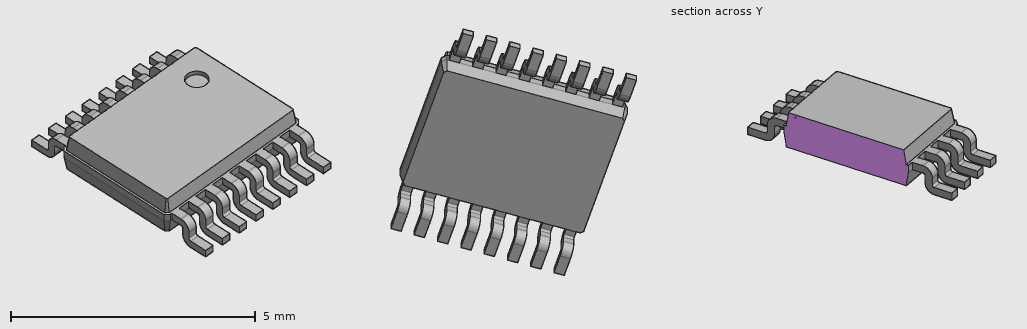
import cadquery as cq
import math

span_x = 4.9
body_length = 4.0
body_width = 3.0

pitch = 0.5
leads_per_side = 8
lead_width = 0.22
lead_thickness = 0.175
bend_inner_radius = 0.05
bend_outer_radius = bend_inner_radius + lead_thickness
foot_to_shank = 0.47
lead_embed = 0.195

standoff = 0.1
half_height = 0.34
band_height = lead_thickness
upper_inset = 0.055
draft_angle = 10.0
corner_chamfer = 0.095

mark_diameter = 0.5
mark_depth = 0.1
mark_edge_distance = 0.815

band_bottom = standoff + half_height
band_top = band_bottom + band_height
body_top = band_top + half_height


def body_block(bottom, height, inset=0.0):
    """Upright block with chamfered corners, drawn in evenly on every side."""
    chamfer = corner_chamfer - (2 - math.sqrt(2)) * inset
    return (
        cq.Workplane("XY")
        .workplane(offset=bottom)
        .rect(body_width - 2 * inset, body_length - 2 * inset)
        .extrude(height)
        .edges("|Z")
        .chamfer(chamfer)
    )


def make_body():
    band = body_block(band_bottom, band_height)
    lower = band.faces("<Z").wires().toPending().workplane().extrude(
        half_height, combine=False, taper=draft_angle
    )
    upper_foot = body_block(band_bottom, band_height, upper_inset)
    upper = upper_foot.faces(">Z").wires().toPending().workplane().extrude(
        half_height, combine=False, taper=draft_angle
    )
    return band.union(lower).union(upper)


def make_left_lead(y_centre):
    """Gull-wing lead on the -X side, bent at constant thickness."""
    tip = -span_x / 2
    shank_outer = tip + foot_to_shank
    shank_inner = shank_outer + lead_thickness
    root = -body_width / 2 + lead_embed
    arc_side = math.sqrt(0.5)

    upper_centre = (shank_outer + bend_outer_radius, band_top - bend_outer_radius)
    lower_centre = (shank_inner - bend_outer_radius, bend_outer_radius)

    def upper_mid(radius):
        return (upper_centre[0] - radius * arc_side, upper_centre[1] + radius * arc_side)

    def lower_mid(radius):
        return (lower_centre[0] + radius * arc_side, lower_centre[1] - radius * arc_side)

    profile = (
        cq.Workplane("XZ", origin=(0, y_centre, 0))
        .moveTo(tip, 0)
        .lineTo(lower_centre[0], 0)
        .threePointArc(lower_mid(bend_outer_radius), (shank_inner, lower_centre[1]))
        .lineTo(shank_inner, upper_centre[1])
        .threePointArc(upper_mid(bend_inner_radius), (upper_centre[0], band_bottom))
        .lineTo(root, band_bottom)
        .lineTo(root, band_top)
        .lineTo(upper_centre[0], band_top)
        .threePointArc(upper_mid(bend_outer_radius), (shank_outer, upper_centre[1]))
        .lineTo(shank_outer, lower_centre[1])
        .threePointArc(lower_mid(bend_inner_radius), (lower_centre[0], lead_thickness))
        .lineTo(tip, lead_thickness)
        .close()
    )
    return profile.extrude(lead_width / 2, both=True)


def make_pin_1_mark():
    """Cylinder that sinks the round mark into the top face."""
    x = mark_edge_distance - body_width / 2
    y = body_length / 2 - mark_edge_distance
    return (
        cq.Workplane("XY", origin=(x, y, body_top - mark_depth))
        .circle(mark_diameter / 2)
        .extrude(mark_depth)
    )


result = make_body()
for index in range(leads_per_side):
    lead = make_left_lead((index - (leads_per_side - 1) / 2) * pitch)
    result = result.union(lead).union(lead.mirror("YZ"))
result = result.cut(make_pin_1_mark())